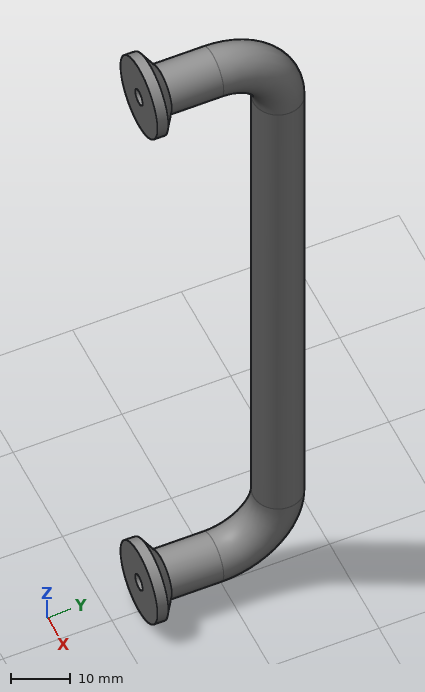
import cadquery as cq
import math

overall_height = 143.0
overall_depth = 30.0
bar_diameter = 9.0
bend_radius = 12.0
foot_diameter = 15.0
foot_rim_thickness = 2.0
foot_height = 4.0
hole_diameter = 3.0
hole_depth = 10.0
drill_tip_angle = 118.0
drill_tip_length = hole_diameter / 2 / math.tan(math.radians(drill_tip_angle / 2))

foot_spacing = overall_height - foot_diameter
foot_z = foot_spacing / 2
bar_y = overall_depth - bar_diameter / 2
bend_start_y = bar_y - bend_radius
grip_end_z = foot_z - bend_radius


def make_bar():
    """Round bar swept from the lower foot, along the grip, to the upper foot."""
    path = (
        cq.Workplane("YZ")
        .moveTo(0, -foot_z)
        .lineTo(bend_start_y, -foot_z)
        .tangentArcPoint((bar_y, -grip_end_z), relative=False)
        .lineTo(bar_y, grip_end_z)
        .tangentArcPoint((bend_start_y, foot_z), relative=False)
        .lineTo(0, foot_z)
    )
    return cq.Workplane("XZ", origin=(0, 0, -foot_z)).circle(bar_diameter / 2).sweep(path)


def make_foot(z):
    """Flange with a cylindrical rim and a cone narrowing to the bar."""
    profile = (
        cq.Workplane("XY", origin=(0, 0, z))
        .lineTo(foot_diameter / 2, 0)
        .lineTo(foot_diameter / 2, foot_rim_thickness)
        .lineTo(bar_diameter / 2, foot_height)
        .lineTo(0, foot_height)
        .close()
    )
    return profile.revolve(360, (0, 0), (0, 1))


def make_hole(z):
    """Blind fixing hole with a conical drilled end, running along +Y from the face of a foot."""
    profile = (
        cq.Workplane("XY", origin=(0, 0, z))
        .lineTo(hole_diameter / 2, 0)
        .lineTo(hole_diameter / 2, hole_depth)
        .lineTo(0, hole_depth + drill_tip_length)
        .close()
    )
    return profile.revolve(360, (0, 0), (0, 1))


result = make_bar()
for end_z in (-foot_z, foot_z):
    result = result.union(make_foot(end_z)).cut(make_hole(end_z))